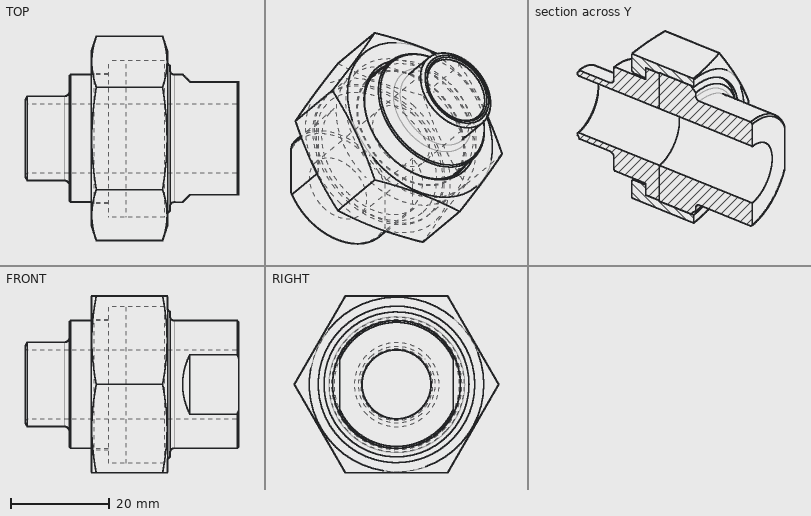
import cadquery as cq
import math


total_length = 43.5
bore_diameter = 14.0

spigot_diameter = 17.2
spigot_end_diameter = 15.57
spigot_chamfer_length = 0.5
mouth_diameter = 14.65
mouth_chamfer = (mouth_diameter - bore_diameter) / 2
collar_start = 9.0
collar_diameter = 26.0
collar_chamfer = 0.3
spigot_fillet = 1.0

nut_start = 13.5
nut_length = 15.5
nut_end = nut_start + nut_length
nut_across_flats = 36.0
nut_across_corners = nut_across_flats / math.cos(math.pi / 6)
nut_face_diameter = 35.5
nut_corner_bevel = 1.0
nut_lip_diameter = 26.5
nut_lip_thickness = 3.5
nut_lip_chamfer = 0.5
thread_diameter = 31.85

flange_start = nut_start + nut_lip_thickness
flange_thickness = 3.5
joint_position = flange_start + flange_thickness

thread_end = 29.5
thread_end_diameter = 29.5
thread_chamfer = (thread_diameter - thread_end_diameter) / 2
barrel_diameter = collar_diameter
barrel_fillet = 0.83
barrel_chamfer = 0.4
wrench_flat_width = 23.0
wrench_flat_start = 33.55


def revolve_about_x(profile):
    """Turn a closed (x, radius) profile around the X axis."""
    return profile.close().revolve(360, (0, 0, 0), (1, 0, 0))


def make_tailpiece():
    spigot_radius = spigot_diameter / 2
    collar_radius = collar_diameter / 2
    bore_radius = bore_diameter / 2
    arc_offset = spigot_fillet * math.sqrt(0.5)
    profile = (
        cq.Workplane("XY")
        .moveTo(0, mouth_diameter / 2)
        .lineTo(0, spigot_end_diameter / 2)
        .lineTo(spigot_chamfer_length, spigot_radius)
        .lineTo(collar_start - spigot_fillet, spigot_radius)
        .threePointArc(
            (collar_start - spigot_fillet + arc_offset, spigot_radius + spigot_fillet - arc_offset),
            (collar_start, spigot_radius + spigot_fillet),
        )
        .lineTo(collar_start, collar_radius - collar_chamfer)
        .lineTo(collar_start + collar_chamfer, collar_radius)
        .lineTo(flange_start, collar_radius)
        .lineTo(flange_start, thread_diameter / 2)
        .lineTo(joint_position, thread_diameter / 2)
        .lineTo(joint_position, bore_radius)
        .lineTo(mouth_chamfer, bore_radius)
    )
    return revolve_about_x(profile)


def make_nut():
    hexagon = (
        cq.Workplane("YZ", origin=(nut_start, 0, 0))
        .polygon(6, nut_across_corners)
        .extrude(nut_length)
    )
    face_radius = nut_face_diameter / 2
    corner_radius = nut_across_corners / 2
    envelope = revolve_about_x(
        cq.Workplane("XY")
        .moveTo(nut_start, 0)
        .lineTo(nut_start, face_radius)
        .lineTo(nut_start + nut_corner_bevel, corner_radius)
        .lineTo(nut_end - nut_corner_bevel, corner_radius)
        .lineTo(nut_end, face_radius)
        .lineTo(nut_end, 0)
    )
    lip_radius = nut_lip_diameter / 2
    opening = revolve_about_x(
        cq.Workplane("XY")
        .moveTo(nut_start, 0)
        .lineTo(nut_start, lip_radius + nut_lip_chamfer)
        .lineTo(nut_start + nut_lip_chamfer, lip_radius)
        .lineTo(flange_start, lip_radius)
        .lineTo(flange_start, thread_diameter / 2)
        .lineTo(nut_end, thread_diameter / 2)
        .lineTo(nut_end, 0)
    )
    return hexagon.intersect(envelope).cut(opening).solids()


def make_wrench_flat_cutter(side):
    """Cutter for one flat with a 45 degree run-out; side is +1 or -1 along Y."""
    flat_offset = wrench_flat_width / 2
    cutter_depth = barrel_diameter / 2 - flat_offset
    return (
        cq.Workplane("XY", origin=(0, 0, -barrel_diameter / 2))
        .moveTo(wrench_flat_start, side * flat_offset)
        .lineTo(total_length, side * flat_offset)
        .lineTo(total_length, side * (flat_offset + cutter_depth))
        .lineTo(wrench_flat_start - cutter_depth, side * (flat_offset + cutter_depth))
        .close()
        .extrude(barrel_diameter)
    )


def make_body():
    thread_radius = thread_diameter / 2
    barrel_radius = barrel_diameter / 2
    bore_radius = bore_diameter / 2
    arc_offset = barrel_fillet * math.sqrt(0.5)
    profile = (
        cq.Workplane("XY")
        .moveTo(joint_position, bore_radius)
        .lineTo(joint_position, thread_radius)
        .lineTo(thread_end - thread_chamfer, thread_radius)
        .lineTo(thread_end, thread_end_diameter / 2)
        .lineTo(thread_end, barrel_radius + barrel_fillet)
        .threePointArc(
            (thread_end + barrel_fillet - arc_offset, barrel_radius + barrel_fillet - arc_offset),
            (thread_end + barrel_fillet, barrel_radius),
        )
        .lineTo(total_length - barrel_chamfer, barrel_radius)
        .lineTo(total_length, barrel_radius - barrel_chamfer)
        .lineTo(total_length, bore_radius)
    )
    body = revolve_about_x(profile)
    for side in (1, -1):
        body = body.cut(make_wrench_flat_cutter(side))
    return body.solids()


tailpiece = make_tailpiece()
nut = make_nut()
body = make_body()

result = cq.Compound.makeCompound([tailpiece.val(), nut.val(), body.val()])